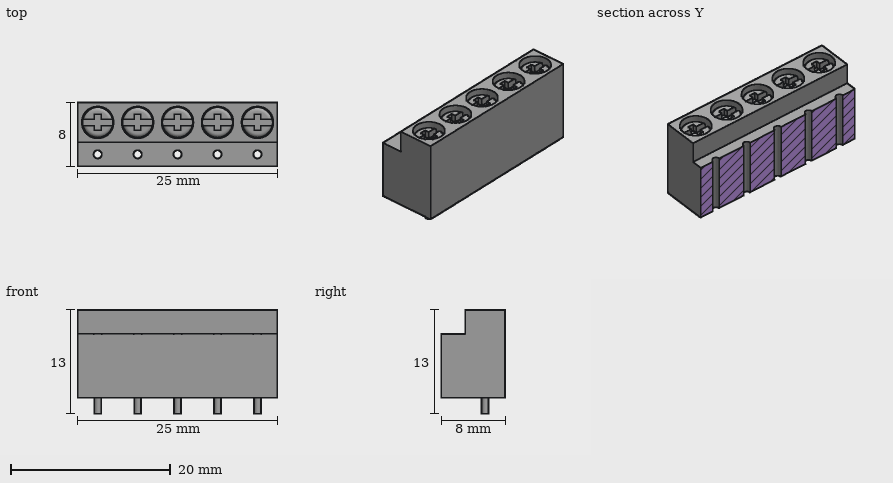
import cadquery as cq

pole_count = 5
pitch = 5.0
length = pole_count * pitch
depth = 8.0
height = 11.0
tower_depth = 5.0
ledge_drop = 3.0
ledge_height = height - ledge_drop
tower_front_y = depth - tower_depth

screw_y = depth - tower_depth / 2
well_diameter = 4.0
well_depth = 2.0
head_diameter = 3.8
head_recess = 0.6
head_edge_radius = 0.5
slot_width = 0.82
slot_depth = 1.0
cross_length = 2.0

hole_diameter = 1.0
hole_y = tower_front_y / 2
pin_diameter = 0.9
pin_length = 2.0

well_floor = height - well_depth
head_top = height - head_recess
pole_positions = [(index + 0.5) * pitch for index in range(pole_count)]


def cylinder(diameter, x, y, z_bottom, z_top):
    base = cq.Workplane("XY", origin=(x, y, z_bottom))
    return base.circle(diameter / 2).extrude(z_top - z_bottom)


def make_housing():
    profile = [
        (0, 0),
        (depth, 0),
        (depth, height),
        (tower_front_y, height),
        (tower_front_y, ledge_height),
        (0, ledge_height),
    ]
    return cq.Workplane("YZ").polyline(profile).close().extrude(length)


def make_screw_head(x):
    """Rounded head with a full-width slot along X and a short cross slot along Y."""
    head = cylinder(head_diameter, x, screw_y, well_floor, head_top)
    head = head.faces(">Z").edges().fillet(head_edge_radius)
    slot_plane = cq.Workplane("XY", origin=(x, screw_y, head_top))
    long_slot = slot_plane.rect(head_diameter, slot_width).extrude(-slot_depth)
    cross_slot = slot_plane.rect(slot_width, cross_length).extrude(-slot_depth)
    return head.cut(long_slot).cut(cross_slot)


result = make_housing()
for pole_x in pole_positions:
    result = result.cut(cylinder(well_diameter, pole_x, screw_y, well_floor, height))
    result = result.union(make_screw_head(pole_x))
    result = result.cut(cylinder(hole_diameter, pole_x, hole_y, 0, ledge_height))
    result = result.union(cylinder(pin_diameter, pole_x, screw_y, -pin_length, 0))